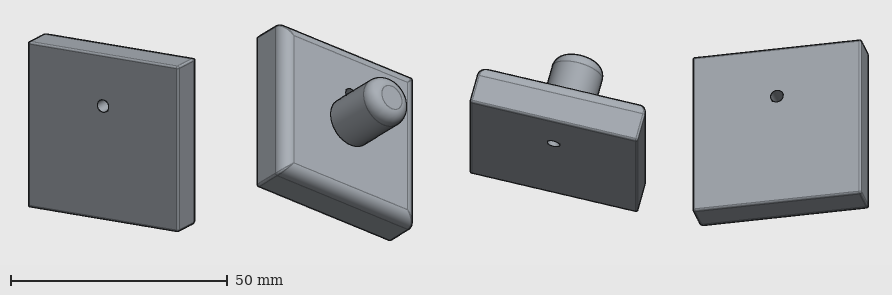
import cadquery as cq

plate_side = 40
plate_thickness = 10
back_rounding = 3.0
edge_rounding = plate_thickness / 20

peg_diameter = 12
peg_length = 15.0
peg_rounding = 3.0

hole_diameter = 3.0
hole_height = (peg_diameter + hole_diameter) / 2


def make_plate():
    plate = cq.Workplane("XY").box(
        plate_side, plate_thickness, plate_side, centered=(True, False, True)
    )
    plate = plate.faces(">Y").edges().fillet(back_rounding)
    return plate.edges("|Y or <Y").fillet(edge_rounding)


def make_peg():
    peg = (
        cq.Workplane("XZ", origin=(0, plate_thickness, 0))
        .circle(peg_diameter / 2)
        .extrude(-peg_length)
    )
    return peg.faces(">Y").edges().fillet(peg_rounding)


def make_hole():
    return (
        cq.Workplane("XZ")
        .center(0, hole_height)
        .circle(hole_diameter / 2)
        .extrude(-plate_thickness)
    )


result = make_plate().union(make_peg()).cut(make_hole())